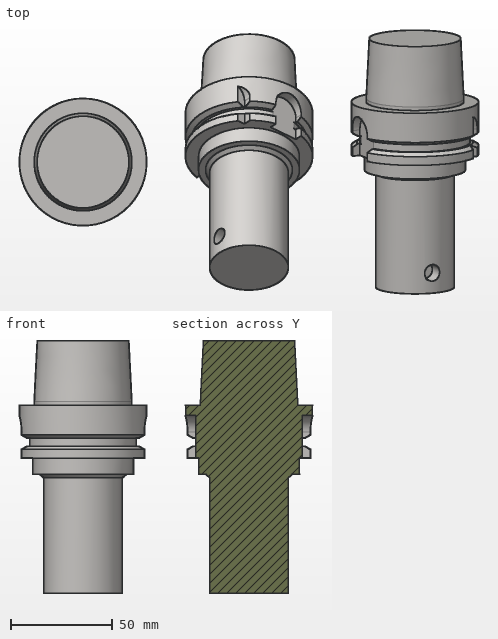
import cadquery as cq

total_height = 125.0
shank_radius = 39.0 / 2
shank_shoulder_radius = 21.5
collar_radius = 50.0 / 2
flange_radius = 63.0 / 2
groove_edge_radius = 28.8
groove_radius = 27.2
taper_base_radius = 48.4 / 2
taper_ratio = 0.1

shank_top = 57.1
collar_bottom = 58.9
flange_bottom = 66.9
groove_bottom = 72.9
groove_top = 76.8
groove_chamfer_height = 1.6
flange_top = 93.1
taper_bottom = 95.0
taper_top_radius = taper_base_radius - taper_ratio * (total_height - taper_bottom) / 2

slot_radius = 8.1
slot_top = 88.0
slot_floor = 26.4

notch_radius = 7.6
notch_side = 19.9
notch_top = 88.5
notch_floor = 20.2

screw_hole_radius = 8.2 / 2
screw_hole_height = 10.2
screw_hole_depth = 8.5

cut_reach = flange_radius + 1.2


def turned_body():
    profile = [
        (0, 0),
        (shank_radius, 0),
        (shank_radius, shank_top),
        (shank_shoulder_radius, collar_bottom),
        (collar_radius, collar_bottom),
        (collar_radius, flange_bottom),
        (flange_radius, flange_bottom),
        (flange_radius, groove_bottom - groove_chamfer_height),
        (groove_edge_radius, groove_bottom),
        (groove_radius, groove_bottom),
        (groove_radius, groove_top),
        (groove_edge_radius, groove_top),
        (flange_radius, groove_top + groove_chamfer_height),
        (flange_radius, flange_top),
        (taper_base_radius, flange_top),
        (taper_base_radius, taper_bottom),
        (taper_top_radius, total_height),
        (0, total_height),
    ]
    return cq.Workplane("XZ").polyline(profile).close().revolve(360, (0, 0), (0, 1))


def round_topped_cutter(center_y, radius, top, floor):
    """Arched slot through the flange's lower edge, cut along X from the floor outwards to +X."""
    spring_height = top - radius
    return (
        cq.Workplane("YZ", origin=(floor, 0, 0))
        .moveTo(center_y - radius, flange_bottom)
        .lineTo(center_y - radius, spring_height)
        .threePointArc((center_y, top), (center_y + radius, spring_height))
        .lineTo(center_y + radius, flange_bottom)
        .close()
        .extrude(cut_reach - floor)
    )


def screw_hole():
    hole_bottom = shank_radius - screw_hole_depth
    return (
        cq.Workplane("XZ", origin=(0, hole_bottom, screw_hole_height))
        .circle(screw_hole_radius)
        .extrude(hole_bottom - cut_reach)
    )


driving_slot = round_topped_cutter(0, slot_radius, slot_top, slot_floor)
notch_center_y = notch_side + notch_radius
locating_notch = round_topped_cutter(notch_center_y, notch_radius, notch_top, notch_floor).mirror("YZ")

result = (
    turned_body()
    .cut(driving_slot)
    .cut(driving_slot.mirror("YZ"))
    .cut(locating_notch)
    .cut(screw_hole())
)